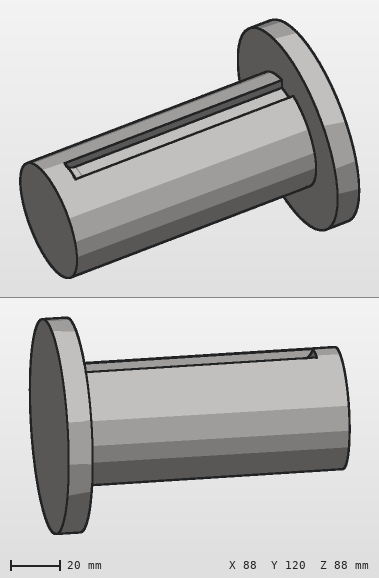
import cadquery as cq

total_length = 120.0
flange_diameter = 88.0
flange_thickness = 10.0
shaft_diameter = 50.0
slot_width = 10.0
slot_depth = 5.0
slot_end_margin = 10.0
slot_end_radius = 5.0

shaft_radius = shaft_diameter / 2
shaft_length = total_length - flange_thickness


def cylinder_along_y(diameter, start_y, length):
    """Solid cylinder on the Y axis, running toward +Y from start_y."""
    return (
        cq.Workplane("XZ", origin=(0, start_y, 0))
        .circle(diameter / 2)
        .extrude(-length)
    )


def slot_cutter():
    """Keyway profile in the YZ plane, with a quarter-round floor at the free end."""
    floor_z = shaft_radius - slot_depth
    return (
        cq.Workplane("YZ")
        .moveTo(shaft_length, floor_z)
        .lineTo(slot_end_margin + slot_end_radius, floor_z)
        .radiusArc((slot_end_margin, floor_z + slot_end_radius), slot_end_radius)
        .lineTo(slot_end_margin, shaft_radius + slot_depth)
        .lineTo(shaft_length, shaft_radius + slot_depth)
        .close()
        .extrude(slot_width / 2, both=True)
    )


shaft = cylinder_along_y(shaft_diameter, 0, shaft_length)
flange = cylinder_along_y(flange_diameter, shaft_length, flange_thickness)
result = shaft.cut(slot_cutter()).union(flange)